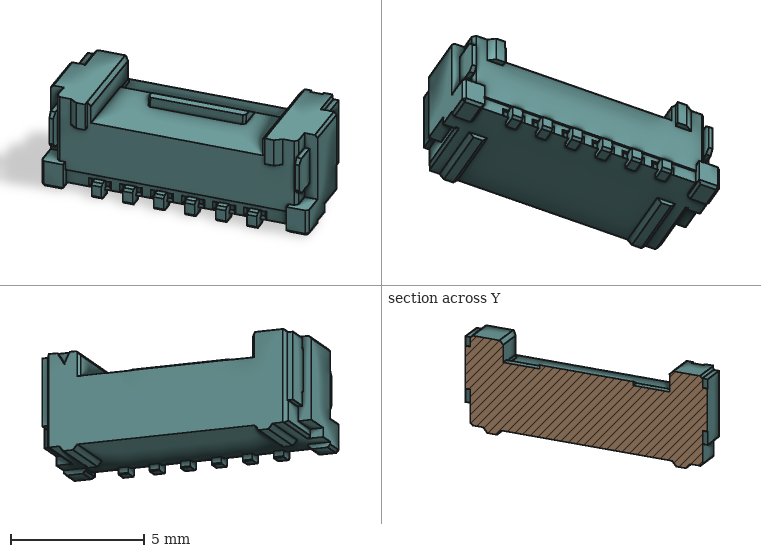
import cadquery as cq


width = 10.75
depth = 4.20
height = 3.90
core_half = 4.85
wall_front = 0.28
base_z = 0.265
undercut_depth = 0.07
undercut_top = 0.84
deck_z = 3.04
front_corner = 0.13
rear_corner_x = 0.14
rear_corner_y = 0.23
edge_bevel = 0.11

tower_inner = 3.46
tower_bevel = 0.155
lead_in = 0.20
rib_outer = 4.27
rib_full = 3.98
rib_front = 0.08
rib_bottom = 2.81

ledge_z = 2.92
ledge_front = 3.49
ledge_half = 3.37
ledge_side_rise = 0.06
ramp_half = 1.96
ramp_z = 3.40
ramp_crest = 2.70
ramp_front = 2.33
ramp_draft = 0.08
ramp_corner = 0.10

block_front = 1.02
block_rear = 2.97
block_step_y = 1.76
block_step_z = 0.62
foot_inner = 4.49
foot_front = 0.05
foot_top = 1.165
sole_z = 0.065
foot_bevel = 0.11
rail_front = 1.70
rail_outer = 4.31
rail_inner = 3.56
rail_slope = 0.18

tab_outer = 5.05
front_tab_bottom = 1.785
front_tab_top = 3.27
front_tab_bevel = 0.20
front_tab_taper = 0.02
rear_tab_rear = 4.02
rear_tab_shoulder = 3.04
rear_tab_top = 3.81
shoulder_low = 1.70
shoulder_high = 3.44
shoulder_rise = 0.06

contact_count = 6
pitch = 1.25
contact_width = 0.40
contact_top = 0.645
contact_rear = 0.61
contact_bevel = 0.10
contact_heel = 0.04
pocket_width = 0.92
pocket_top = 0.62
pocket_taper = 0.10

mark_left = 3.87
mark_right = 4.37
mark_tip = 4.09
mark_drop = 0.45
mark_depth = 0.11

half = width / 2
pocket_front = wall_front + undercut_depth


def block(x0, x1, y0, y1, z0, z1):
    return cq.Workplane("XY").box(x1 - x0, y1 - y0, z1 - z0, centered=False).translate((x0, y0, z0))


def prism_along_x(points_yz, x0, x1):
    return cq.Workplane("YZ").polyline(points_yz).close().extrude(x1 - x0).translate((x0, 0, 0))


def prism_along_y(points_xz, y0, y1):
    return cq.Workplane("XZ").polyline(points_xz).close().extrude(y0 - y1).translate((0, y0, 0))


def prism_along_z(points_xy, z0, z1):
    return cq.Workplane("XY").polyline(points_xy).close().extrude(z1 - z0).translate((0, 0, z0))


def both_sides(shape):
    return shape.union(shape.mirror("YZ"))


def make_core():
    plan = prism_along_z(
        [
            (0, wall_front),
            (core_half - front_corner, wall_front),
            (core_half, wall_front + front_corner),
            (core_half, depth - rear_corner_y),
            (core_half - rear_corner_x, depth),
            (0, depth),
        ],
        base_z,
        height,
    )
    core = both_sides(plan)
    gap = prism_along_y(
        [
            (0, deck_z),
            (tower_inner, deck_z),
            (tower_inner, height - tower_bevel),
            (tower_inner + tower_bevel, height),
            (0, height),
        ],
        0,
        depth,
    )
    core = core.cut(both_sides(gap))
    rear_top_edge = prism_along_y(
        [(core_half, height), (core_half - edge_bevel, height), (core_half, height - edge_bevel)],
        block_rear,
        depth,
    )
    rear_bottom_edge = prism_along_y(
        [(core_half, base_z), (core_half - edge_bevel, base_z), (core_half, base_z + edge_bevel)],
        rail_front,
        depth,
    )
    undercut = block(0, foot_inner, wall_front, pocket_front, base_z, undercut_top)
    for removed in (rear_top_edge, rear_bottom_edge, undercut):
        core = core.cut(both_sides(removed))
    return core


def make_tower_rib():
    return prism_along_z(
        [
            (tower_inner + tower_bevel, wall_front),
            (tower_inner + tower_bevel, rib_front),
            (rib_full, rib_front),
            (rib_outer, wall_front),
        ],
        rib_bottom,
        height,
    )


def make_rear_ledge_cut():
    slope = (ramp_z - ledge_z) / (ledge_front - ramp_crest)
    deck_edge = ledge_front - (deck_z - ledge_z) / slope
    cross_section = prism_along_y(
        [
            (0, ledge_z),
            (ledge_half, ledge_z),
            (tower_inner, ledge_z + ledge_side_rise),
            (tower_inner, deck_z),
            (0, deck_z),
        ],
        deck_edge,
        depth,
    )
    side_profile = prism_along_x(
        [
            (deck_edge, deck_z),
            (ledge_front, ledge_z),
            (depth, ledge_z),
            (depth, deck_z),
        ],
        0,
        tower_inner,
    )
    corner = prism_along_z(
        [
            (ledge_half, depth),
            (ledge_half, depth - lead_in),
            (ledge_half + lead_in, depth),
        ],
        ledge_z,
        height,
    )
    return cross_section.intersect(side_profile).union(corner)


def make_latch_ramp():
    ramp = prism_along_x(
        [
            (ramp_front - ramp_draft, deck_z),
            (ramp_front, ramp_z),
            (ramp_crest, ramp_z),
            (ledge_front, ledge_z),
        ],
        -ramp_half,
        ramp_half,
    )
    return ramp.faces("<Y").edges("not |X").chamfer(ramp_corner)


def make_side_block():
    side = block(core_half, half, block_front, block_rear, base_z, height)
    step = block(core_half, half, block_step_y, block_rear, base_z, block_step_z)
    return side.cut(step).edges(">X and >Z").chamfer(edge_bevel)


def make_foot():
    foot = block(foot_inner, half, foot_front, block_front, sole_z, foot_top)
    return foot.edges("(|Z and >X and <Y) or (<Z and (>X or <X or <Y))").chamfer(foot_bevel)


def make_rail():
    return prism_along_y(
        [
            (rail_inner, base_z),
            (rail_inner + rail_slope, sole_z),
            (rail_outer - rail_slope, sole_z),
            (rail_outer, base_z),
        ],
        rail_front,
        depth,
    )


def make_front_tab():
    plan = prism_along_z(
        [
            (core_half, block_front),
            (core_half, front_tab_bevel),
            (core_half + front_tab_taper, 0),
            (tab_outer - front_tab_taper, 0),
            (tab_outer, front_tab_bevel),
            (tab_outer, block_front),
        ],
        front_tab_bottom,
        front_tab_top,
    )
    side = prism_along_x(
        [
            (block_front, front_tab_bottom),
            (front_tab_bevel, front_tab_bottom),
            (0, front_tab_bottom + front_tab_bevel),
            (0, front_tab_top - front_tab_bevel),
            (front_tab_bevel, front_tab_top),
            (block_front, front_tab_top),
        ],
        core_half,
        tab_outer,
    )
    return plan.intersect(side)


def make_rear_tab():
    return prism_along_x(
        [
            (rear_tab_rear, foot_top),
            (rear_tab_rear, rear_tab_top),
            (rear_tab_shoulder, rear_tab_top),
            (rear_tab_shoulder, shoulder_high),
            (block_rear, shoulder_high - shoulder_rise),
            (block_rear, shoulder_low + shoulder_rise),
            (rear_tab_shoulder, shoulder_low),
            (rear_tab_shoulder, foot_top),
        ],
        core_half - rear_corner_x,
        tab_outer,
    )


def make_contact():
    profile = [
        (contact_bevel, 0),
        (contact_rear - contact_heel, 0),
        (contact_rear, contact_heel),
        (contact_rear, contact_top),
        (contact_bevel, contact_top),
        (0, contact_top - contact_bevel),
        (0, contact_bevel),
    ]
    return prism_along_x(profile, -contact_width / 2, contact_width / 2)


def make_contact_pocket():
    floor_y = pocket_front + pocket_taper
    plan = prism_along_z(
        [
            (-pocket_width / 2, pocket_front),
            (pocket_width / 2, pocket_front),
            (pocket_width / 2 - pocket_taper, floor_y),
            (pocket_taper - pocket_width / 2, floor_y),
        ],
        base_z,
        pocket_top,
    )
    section = prism_along_x(
        [
            (pocket_front, base_z),
            (floor_y, base_z + pocket_taper),
            (floor_y, pocket_top),
            (pocket_front, pocket_top),
        ],
        -pocket_width / 2,
        pocket_width / 2,
    )
    return plan.intersect(section)


def make_pin_mark():
    outline = [(mark_left, height), (mark_tip, height - mark_drop), (mark_right, height)]
    return prism_along_y(outline, depth - mark_depth, depth)


result = make_core()
result = result.cut(both_sides(make_rear_ledge_cut()))
result = result.union(make_latch_ramp())
for side_feature in (
    make_tower_rib(),
    make_side_block(),
    make_foot(),
    make_rail(),
    make_front_tab(),
    make_rear_tab(),
):
    result = result.union(both_sides(side_feature))

contact = make_contact()
pocket = make_contact_pocket()
for index in range(contact_count):
    offset = ((index - (contact_count - 1) / 2) * pitch, 0, 0)
    result = result.cut(pocket.translate(offset)).union(contact.translate(offset))

result = result.cut(make_pin_mark())